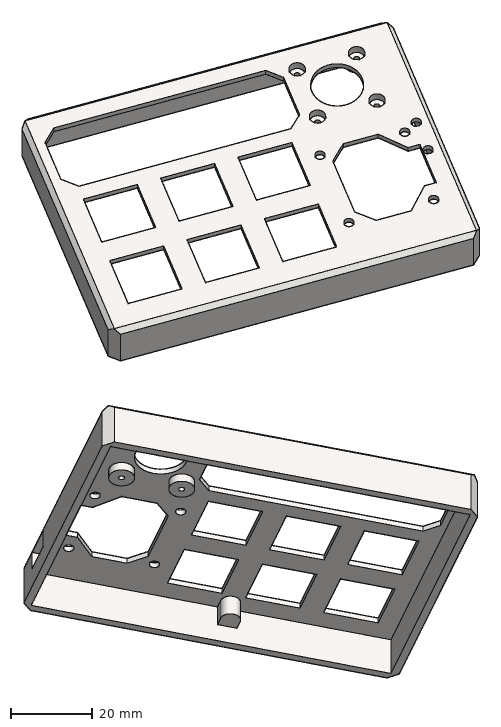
import cadquery as cq
width = 70.4
length = 96.6
height = 12.1
wall = 2.0
plate = 1.5
corner_chamfer = 2.4
rim_chamfer = 1.3
plate_bottom = height - plate

key_size = 14.0
key_pitch = 20.1
key_columns = 2
key_rows = 3
first_key_x = 0.6
first_key_y = 5.9

window_width = 19.0
window_length = 62.0
window_chamfer = 3.5
window_x = -20.1
window_y = -13.5

round_x = -19.7
round_y = 29.2
round_diameter = 13.0
post_pitch = 15.5
post_diameter = 6.4
post_drop = 2.3
recess_diameter = 4.1
recess_depth = 2.3
pilot_diameter = 1.45

stick_x = 10.5
stick_y = 29.2
stick_width = 25.0
stick_bottom = stick_y - 8.6
stick_chamfer = 4.2
stick_shoulder = stick_y + 4.6
notch_width = 12.5
notch_start = stick_y + 10.2
notch_top = stick_y + 13.3
screw_diameter = 2.5
screw_pitch = 22.0

pair_x = 2.0
pair_y = 43.9
pair_pitch = 9.0

boss_diameter = 5.0
boss_x = 30.5
boss_y = first_key_y - key_pitch / 2
boss_bottom = 5.0

slot_left = 16.8
slot_width = 9.0
slot_floor = 5.6


def grid(pitch, center_x, center_y):
    """Four points on a square of the given pitch."""
    half = pitch / 2
    return [(center_x + i * half, center_y + j * half) for i in (-1, 1) for j in (-1, 1)]


def cylinders(points, diameter, bottom, top):
    """Upright cylinders between two heights."""
    base = cq.Workplane("XY", origin=(0, 0, bottom))
    return base.pushPoints(points).circle(diameter / 2).extrude(top - bottom)


def box_from(x, y, z, size_x, size_y, size_z):
    """Box given by its lowest corner and its size."""
    return cq.Workplane("XY").box(size_x, size_y, size_z, centered=False).translate((x, y, z))


def make_shell():
    """Cover with a chamfered rim, chamfered corners and a plain cavity."""
    base = (True, True, False)
    body = cq.Workplane("XY").box(width, length, height, centered=base)
    body = body.faces(">Z").chamfer(rim_chamfer)
    prism = cq.Workplane("XY").box(width, length, height, centered=base)
    prism = prism.edges("|Z").chamfer(corner_chamfer)
    cavity = cq.Workplane("XY").box(width - 2 * wall, length - 2 * wall, plate_bottom, centered=base)
    return body.intersect(prism).cut(cavity)


def make_wall_boss():
    """Round boss under the plate with a web of the same width to the +X wall."""
    boss = cylinders([(boss_x, boss_y)], boss_diameter, boss_bottom, plate_bottom)
    web_length = width / 2 - wall - boss_x
    web_height = plate_bottom - boss_bottom
    web_y = boss_y - boss_diameter / 2
    web = box_from(boss_x, web_y, boss_bottom, web_length, boss_diameter, web_height)
    return boss.union(web)


def key_cutter():
    """Square openings in rows and columns."""
    points = [
        (first_key_x + column * key_pitch, first_key_y - row * key_pitch)
        for column in range(key_columns)
        for row in range(key_rows)
    ]
    return cq.Workplane("XY").pushPoints(points).rect(key_size, key_size).extrude(height)


def window_cutter():
    """Long opening with chamfered corners."""
    window = cq.Workplane("XY").center(window_x, window_y).rect(window_width, window_length).extrude(height)
    return window.edges("|Z").chamfer(window_chamfer)


def stick_cutter():
    """Joystick opening, symmetric about its own centre line."""
    half = stick_width / 2
    half_notch = notch_width / 2
    right_side = [
        (half - stick_chamfer, stick_bottom),
        (half, stick_bottom + stick_chamfer),
        (half, stick_shoulder),
        (half_notch, notch_start),
        (half_notch, notch_top),
    ]
    left_side = [(-x, y) for x, y in reversed(right_side)]
    outline = [(stick_x + x, y) for x, y in right_side + left_side]
    return cq.Workplane("XY").polyline(outline).close().extrude(height)


post_points = grid(post_pitch, round_x, round_y)
stick_screws = grid(screw_pitch, stick_x, stick_y)
pair_points = [(pair_x + side * pair_pitch / 2, pair_y) for side in (-1, 1)]

result = make_shell()
result = result.union(cylinders(post_points, post_diameter, plate_bottom - post_drop, plate_bottom))
result = result.union(make_wall_boss())

result = result.cut(key_cutter())
result = result.cut(window_cutter())
result = result.cut(stick_cutter())
result = result.cut(cylinders([(round_x, round_y)], round_diameter, 0, height))
result = result.cut(cylinders(post_points, pilot_diameter, 0, height))
result = result.cut(cylinders(post_points, recess_diameter, height - recess_depth, height))
result = result.cut(cylinders(stick_screws + pair_points, screw_diameter, 0, height))
result = result.cut(
    box_from(slot_left, length / 2 - wall, slot_floor, slot_width, wall, plate_bottom - slot_floor)
)